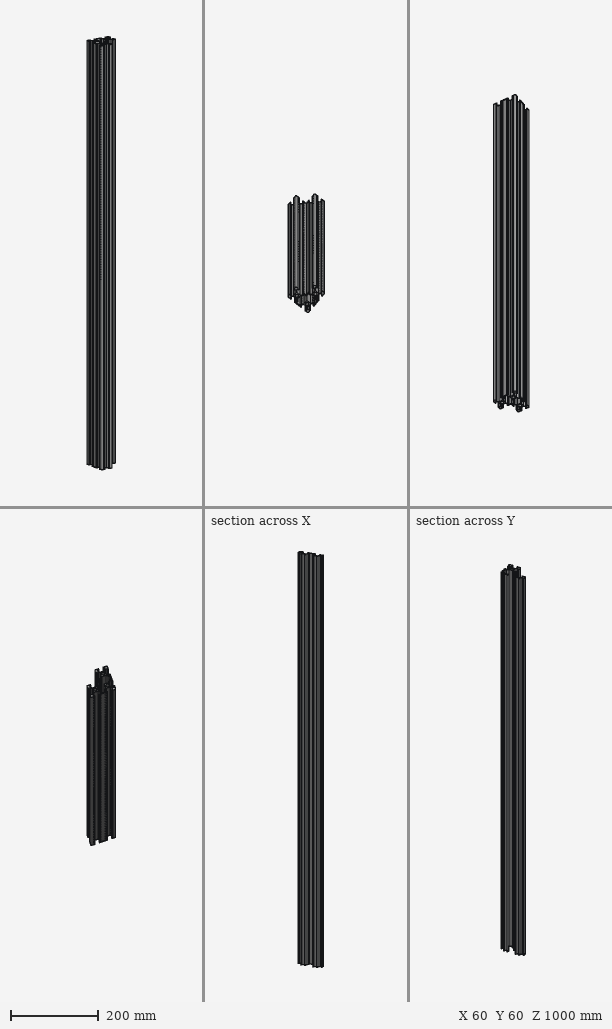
import cadquery as cq
import math

length = 1000.0
module = 30.0
corner_radius = 2.0

slot_opening = 11.0
slot_half_width = 8.2
lip = 2.0

half_core = 5.8
core_bore = 7.0
rib = 1.7

chamber_shoulder = 10.0

half_module = module / 2
wall_face = half_module - lip
rib_offset = rib / math.sqrt(2)
floor_end = half_core - rib_offset

corner_centre = (-half_module, -half_module)
upper_centre = (-half_module, half_module)
right_centre = (half_module, -half_module)
module_centres = [corner_centre, upper_centre, right_centre]

slot_directions = {
    corner_centre: (180, 270),
    upper_centre: (0, 90, 180),
    right_centre: (0, 90, 270),
}


def prism(points):
    """Full-length prism over a closed polygon."""
    return cq.Workplane("XY").polyline(points).close().extrude(length)


def l_bar():
    """Solid L-shaped bar with every corner rounded except the inner one."""
    outline = [
        (-module, -module),
        (module, -module),
        (module, 0),
        (0, 0),
        (0, module),
        (-module, module),
    ]
    inner_corner = cq.selectors.BoxSelector(
        (-half_module, -half_module, 0), (half_module, half_module, length)
    )
    outer_corners = cq.selectors.StringSyntaxSelector("|Z") - inner_corner
    return prism(outline).edges(outer_corners).fillet(corner_radius)


def slot(centre, direction):
    """T-slot space from the core of a module out through one side."""
    upper_side = [
        (half_core, floor_end),
        (slot_half_width + rib_offset, slot_half_width),
        (wall_face, slot_half_width),
        (wall_face, slot_opening / 2),
        (half_module, slot_opening / 2),
    ]
    lower_side = [(x, -y) for x, y in reversed(upper_side)]
    space = prism(upper_side + lower_side).rotate((0, 0, 0), (0, 0, 1), direction)
    return space.translate((*centre, 0))


def chamber():
    """L-shaped chamber joining the three modules, laid out from the corner module's centre."""
    rib_end = chamber_shoulder - rib_offset
    upper_branch = [
        (-floor_end, half_core),
        (-rib_end, chamber_shoulder),
        (-wall_face, chamber_shoulder),
        (-wall_face, module - chamber_shoulder),
        (-rib_end, module - chamber_shoulder),
        (-floor_end, module - half_core),
        (floor_end, module - half_core),
        (rib_end, module - chamber_shoulder),
        (wall_face, module - chamber_shoulder),
    ]
    right_branch = [(y, x) for x, y in reversed(upper_branch)]
    crook = (wall_face, wall_face)
    core_corner = (half_core, half_core)
    outline = upper_branch + [crook] + right_branch + [core_corner]
    return prism(outline).translate((*corner_centre, 0))


def core_bores():
    return cq.Workplane("XY").pushPoints(module_centres).circle(core_bore / 2).extrude(length)


result = l_bar().cut(chamber()).cut(core_bores())
for centre, directions in slot_directions.items():
    for direction in directions:
        result = result.cut(slot(centre, direction))